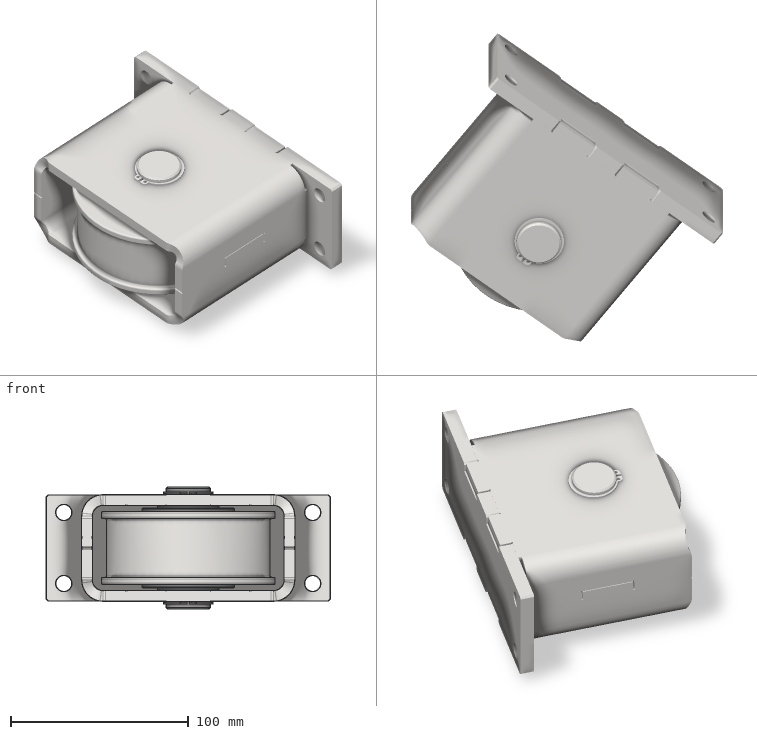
import cadquery as cq
import math


plate_length = 160.0
plate_height = 59.8
plate_thickness = 8.0
plate_chamfer = 1.1
back_y = 66.0
plate_front_y = back_y - plate_thickness
hole_diameter = 9.0
hole_spacing_x = 140.2
hole_spacing_z = 40.0

frame_width = 120.0
frame_height = 60.0
inner_height = 48.0
frame_length = 98.0
wall = (frame_height - inner_height) / 2
front_y = plate_front_y - frame_length
bend_outer = 12.0
bend_inner = bend_outer - wall
bend_middle = (bend_outer + bend_inner) / 2
bend_x = frame_width / 2 - bend_outer
bend_z = frame_height / 2 - bend_outer

tab_inner_x = 10.0
tab_outer_x = 34.9
tab_setback = 1.0
tab_relief_radius = 0.5

rear_relief = 2.0
scallop_depth = 2.4
entry_radius = 4.8
entry_run = 1.3
cut_overrun = 0.8
scallop_steps = 6

joint_length = 30.4
joint_height = 6.0
joint_gap = 0.5
joint_relief_radius = 0.6
joint_y = (plate_front_y + front_y) / 2
seam_rounding = 0.8

flange_radius = 49.0
tread_radius = 46.0
wheel_half_width = 20.6
tread_half_width = 16.5
flange_rounding = 1.0
root_fillet = 0.8
hub_plate_radius = 26.0
hub_plate_half_width = 22.4
hub_plate_chamfer = 0.5
hub_radius = 17.5
hub_half_width = 23.5

axle_radius = 12.5
axle_length = 69.0
axle_chamfer = 1.0
ring_thickness = 1.1
ring_clearance = 0.5
ring_radius = 14.0
ring_offset = 0.5
ring_gap = 1.6
lug_half_width = 4.6
lug_end = 15.8
lug_start = 11.2
lug_rounding = 2.0
lug_hole_radius = 1.0
lug_hole_x = 2.9
lug_hole_y = 13.6


def block(x0, x1, y0, y1, z0, z1):
    """Box between the given limits."""
    return cq.Workplane("XY").box(x1 - x0, y1 - y0, z1 - z0, centered=False).translate((x0, y0, z0))


def mirrored_to_corners(shape):
    """Copies of a shape in all four X-Z quadrants."""
    half = shape.union(shape.mirror("YZ"))
    return half.union(half.mirror("XY"))


def rounded_bar(width, height, radius, length):
    """Bar along Y from the frame's front end, with rounded long edges."""
    bar = cq.Workplane("XZ", origin=(0, front_y, 0)).rect(width, height).extrude(-length)
    return bar.edges("|Y").fillet(radius)


def plate():
    body = block(
        -plate_length / 2, plate_length / 2, plate_front_y, back_y, -plate_height / 2, plate_height / 2
    )
    body = body.edges("|Y").chamfer(plate_chamfer)
    holes = (
        cq.Workplane("XZ", origin=(0, plate_front_y, 0))
        .rect(hole_spacing_x, hole_spacing_z, forConstruction=True)
        .vertices()
        .circle(hole_diameter / 2)
        .extrude(-plate_thickness)
    )
    return body.cut(holes)


def tab_slot():
    """Chamfered slot in the plate edge that receives one tab of the frame."""
    floor_z = inner_height / 2
    top_z = plate_height / 2
    return (
        cq.Workplane("XZ", origin=(0, plate_front_y, 0))
        .polyline([
            (tab_inner_x, floor_z),
            (tab_outer_x, floor_z),
            (tab_outer_x, top_z - plate_chamfer),
            (tab_outer_x + plate_chamfer, top_z),
            (tab_inner_x - plate_chamfer, top_z),
            (tab_inner_x, top_z - plate_chamfer),
        ])
        .close()
        .extrude(-plate_thickness)
    )


def tab():
    return block(
        tab_inner_x, tab_outer_x, plate_front_y, back_y - tab_setback, inner_height / 2, frame_height / 2
    )


def tab_reliefs():
    """Small round reliefs through the wall at the root of one tab."""
    return (
        cq.Workplane("XY", origin=(0, 0, inner_height / 2))
        .pushPoints([(tab_inner_x, plate_front_y), (tab_outer_x, plate_front_y)])
        .circle(tab_relief_radius)
        .extrude(wall)
    )


def rear_bend_relief():
    """Gap between the plate and the rear end of one bend."""
    gap = block(
        bend_x, frame_width / 2, plate_front_y - rear_relief, plate_front_y, bend_z, frame_height / 2
    )
    side_wall = block(
        frame_width / 2 - wall, frame_width / 2, plate_front_y - rear_relief, plate_front_y, 0, bend_z
    )
    return gap.cut(side_wall)


half_chord = bend_middle * math.pi / 4 + entry_run
centre_drop = entry_radius - scallop_depth
scallop_radius = (half_chord**2 + centre_drop**2 - entry_radius**2) / (2 * scallop_depth)
blend_offset = half_chord * scallop_radius / (scallop_radius + entry_radius)
blend_angle = blend_offset / bend_middle


def scallop_depth_at(offset):
    """Depth of the scallop at a distance along the sheet from the middle of the bend."""
    offset = abs(offset)
    if offset <= blend_offset:
        return scallop_depth - scallop_radius + math.sqrt(scallop_radius**2 - offset**2)
    return entry_radius - math.sqrt(entry_radius**2 - (half_chord - offset) ** 2)


def scallop_section(angle):
    """Radial rectangle across one bend, at an angle from the middle of the bend."""
    direction = math.pi / 4 + angle
    depth = scallop_depth_at(angle * bend_middle)
    corners = [
        (bend_inner - cut_overrun, front_y + depth),
        (bend_outer + cut_overrun, front_y + depth),
        (bend_outer + cut_overrun, front_y - cut_overrun),
        (bend_inner - cut_overrun, front_y - cut_overrun),
    ]
    points = [
        cq.Vector(bend_x + r * math.cos(direction), y, bend_z + r * math.sin(direction))
        for r, y in corners
    ]
    return cq.Wire.makePolygon(points, close=True)


def scallop_piece(start, end):
    """Solid through the scallop sections between two angles."""
    step = (end - start) / scallop_steps
    sections = [scallop_section(start + i * step) for i in range(scallop_steps + 1)]
    return cq.Workplane(cq.Solid.makeLoft(sections))


def front_bend_scallop():
    """Cut across the front end of one bend and its short entries on the two flat walls."""
    limit = math.pi / 4
    bend_cut = scallop_piece(-blend_angle, blend_angle)
    bend_cut = bend_cut.union(scallop_piece(-limit, -blend_angle)).union(scallop_piece(blend_angle, limit))
    depth = scallop_depth_at(half_chord - entry_run)
    middle_depth = scallop_depth_at(half_chord - entry_run / 2)
    top_entry = (
        cq.Workplane("XY", origin=(0, 0, inner_height / 2))
        .moveTo(bend_x - entry_run, front_y)
        .threePointArc((bend_x - entry_run / 2, front_y + middle_depth), (bend_x, front_y + depth))
        .lineTo(bend_x, front_y)
        .close()
        .extrude(wall)
    )
    side_entry = (
        cq.Workplane("YZ", origin=(frame_width / 2 - wall, 0, 0))
        .moveTo(front_y, bend_z - entry_run)
        .threePointArc((front_y + middle_depth, bend_z - entry_run / 2), (front_y + depth, bend_z))
        .lineTo(front_y, bend_z)
        .close()
        .extrude(wall)
    )
    return bend_cut.union(top_entry).union(side_entry)


def side_joint():
    """Thin gap around the joint tongue in the +X wall, with round reliefs at its corners."""
    inner_x = frame_width / 2 - wall
    outer_x = frame_width / 2
    joint_start = joint_y - joint_length / 2
    joint_end = joint_y + joint_length / 2
    half_gap = joint_gap / 2
    outside = block(
        inner_x, outer_x, joint_start - half_gap, joint_end + half_gap, 0, joint_height + half_gap
    )
    tongue = block(
        inner_x, outer_x, joint_start + half_gap, joint_end - half_gap, 0, joint_height - half_gap
    )
    gap = outside.cut(tongue)
    reliefs = (
        cq.Workplane("YZ", origin=(inner_x, 0, 0))
        .pushPoints([(y, z) for y in (joint_start, joint_end) for z in (0, joint_height)])
        .circle(joint_relief_radius)
        .extrude(wall)
    )
    return gap.union(reliefs)


def seam_notches():
    """Cusps at both ends of the seam in the +X wall, where its rounded corners meet."""
    inner_x = frame_width / 2 - wall
    notches = cq.Workplane("XY")
    for end_y, inward in ((front_y, 1), (plate_front_y, -1)):
        round_y = end_y + inward * seam_rounding
        gap_start, gap_end = sorted((end_y, round_y))
        notch = block(inner_x, frame_width / 2, gap_start, gap_end, -seam_rounding, seam_rounding)
        rounds = (
            cq.Workplane("YZ", origin=(inner_x, 0, 0))
            .pushPoints([(round_y, -seam_rounding), (round_y, seam_rounding)])
            .circle(seam_rounding)
            .extrude(wall)
        )
        notches = notches.add(notch.cut(rounds))
    return notches.combine()


def make_housing():
    frame = rounded_bar(frame_width, frame_height, bend_outer, frame_length)
    frame = frame.cut(rounded_bar(frame_width - 2 * wall, inner_height, bend_inner, frame_length))
    frame = frame.cut(mirrored_to_corners(rear_bend_relief()))
    frame = frame.cut(mirrored_to_corners(front_bend_scallop()))
    side_cuts = side_joint().union(seam_notches())
    frame = frame.cut(side_cuts).cut(side_cuts.mirror("YZ"))
    housing = frame.union(plate().cut(mirrored_to_corners(tab_slot())))
    housing = housing.union(mirrored_to_corners(tab()))
    housing = housing.cut(mirrored_to_corners(tab_reliefs()))
    return housing.cut(cq.Workplane("XY").cylinder(frame_height, axle_radius))


def wheel():
    body = cq.Workplane("XY").cylinder(2 * tread_half_width, tread_radius)
    flange = (
        cq.Workplane("XY", origin=(0, 0, tread_half_width))
        .circle(flange_radius)
        .extrude(wheel_half_width - tread_half_width)
    )
    body = body.union(flange).union(flange.mirror("XY"))
    roots = cq.selectors.RadiusNthSelector(0)
    rims = cq.selectors.RadiusNthSelector(-1)
    body = body.edges("%CIRCLE").edges(roots).fillet(root_fillet)
    body = body.edges("%CIRCLE").edges(rims).fillet(flange_rounding)
    hub_plate = cq.Workplane("XY").cylinder(2 * hub_plate_half_width, hub_plate_radius)
    hub = cq.Workplane("XY").cylinder(2 * hub_half_width, hub_radius)
    return body.union(hub_plate.faces("|Z").chamfer(hub_plate_chamfer)).union(hub)


def retaining_ring():
    """Open eccentric ring with two pierced lugs, just above the top of the housing."""
    plane = cq.Workplane("XY", origin=(0, 0, frame_height / 2 + ring_clearance))
    ring = plane.center(0, ring_offset).circle(ring_radius).extrude(ring_thickness)
    lug_middle = -(lug_start + lug_end) / 2
    lugs = plane.center(0, lug_middle).rect(2 * lug_half_width, lug_end - lug_start).extrude(ring_thickness)
    lugs = lugs.edges("|Z and <Y").fillet(lug_rounding)
    holes = (
        plane.pushPoints([(-lug_hole_x, -lug_hole_y), (lug_hole_x, -lug_hole_y)])
        .circle(lug_hole_radius)
        .extrude(ring_thickness)
    )
    gap = plane.center(0, lug_middle).rect(ring_gap, lug_end - lug_start).extrude(ring_thickness)
    return ring.union(lugs).cut(holes).cut(gap)


def make_wheel_set():
    axle = cq.Workplane("XY").cylinder(axle_length, axle_radius).faces("|Z").chamfer(axle_chamfer)
    ring = retaining_ring()
    return wheel().union(axle).union(ring).union(ring.mirror("XY"))


housing = make_housing()
wheel_set = make_wheel_set()

result = cq.Compound.makeCompound([housing.val(), wheel_set.val()])